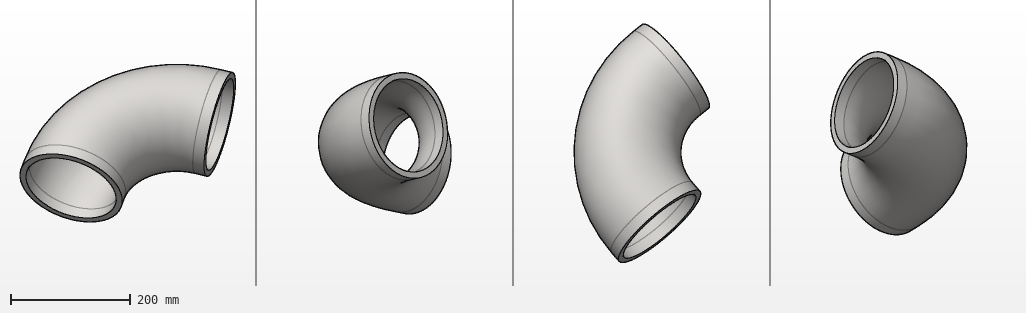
import cadquery as cq

overall_length = 290.0
outer_diameter = 180.0
bore_diameter = 158.5
bend_radius = outer_diameter
bend_angle = 90.0

collar_length = overall_length - bend_radius - outer_diameter / 2


def pipe_section(plane, origin):
    """Ring-shaped pipe cross-section on the given plane."""
    return (
        cq.Workplane(plane, origin=origin)
        .circle(outer_diameter / 2)
        .circle(bore_diameter / 2)
    )


inlet_collar = pipe_section("XZ", (0, 0, 0)).extrude(-collar_length)

bend = pipe_section("XZ", (0, collar_length, 0)).revolve(
    bend_angle, (bend_radius, 0, 0), (bend_radius, -1, 0)
)

outlet_collar = pipe_section(
    "YZ", (bend_radius, collar_length + bend_radius, 0)
).extrude(collar_length)

result = inlet_collar.union(bend).union(outlet_collar)